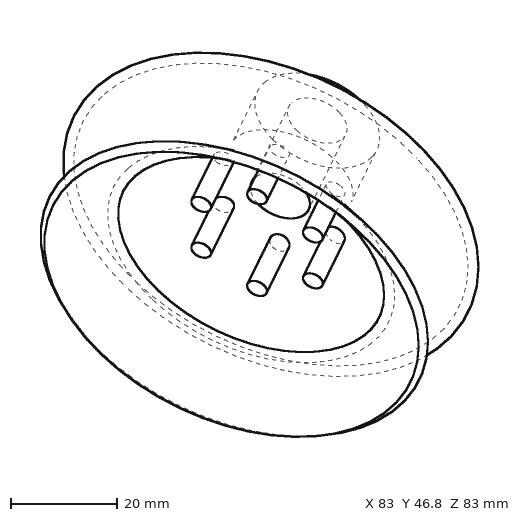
import cadquery as cq
import math


rim_radius = 41.5
overall_height = 46.8
wall = 2.0

collar_radius = 12.5
collar_fillet = 3.0
collar_fillet_height = 32.8
bore_radius = 6.0

rim_round = 3.0
rim_height = 21.5
neck_radius = 28.9
neck_round = 1.0
neck_height = 10.7
lip_angle = math.radians(41.2)

seat_radius = 10.95
seat_height = 26.6

pin_count = 6
pin_radius = 2.0
pin_circle_radius = 12.95
pin_tip_height = 13.95
pin_embed = 0.8
pin_length = seat_height + pin_embed - pin_tip_height

rim_centre = (rim_radius - rim_round, rim_height)
neck_centre = (neck_radius + neck_round, neck_height)
collar_centre = (collar_radius + collar_fillet, collar_fillet_height)

cavity_neck_round = neck_round + wall
cavity_rim_round = rim_round - wall


def on_arc(centre, radius, angle):
    """Point on a circle at an angle measured from the outward radial direction."""
    return (centre[0] + radius * math.cos(angle), centre[1] + radius * math.sin(angle))


def crossing_tangent(inner, inner_round, outer, outer_round):
    """Steepness of the wall that passes between two arcs, touching them on opposite sides."""
    run = outer[0] - inner[0]
    rise = abs(outer[1] - inner[1])
    spread = math.asin((inner_round + outer_round) / math.hypot(run, rise))
    return math.atan2(rise, run) - spread


def add_arc(profile, centre, radius, start, end):
    """Continue the profile to the start of an arc, then along it to its end."""
    return profile.lineTo(*on_arc(centre, radius, start)).threePointArc(
        on_arc(centre, radius, (start + end) / 2), on_arc(centre, radius, end)
    )


def make_cup():
    quarter = math.pi / 2
    roof_angle = crossing_tangent(collar_centre, collar_fillet, rim_centre, rim_round)
    bellows_angle = crossing_tangent(neck_centre, neck_round, rim_centre, rim_round)
    seat_edge = (seat_radius, seat_height)
    cavity_roof_angle = crossing_tangent(seat_edge, 0, rim_centre, cavity_rim_round)

    neck_to_lip = math.pi + quarter - lip_angle
    cavity_lip_start = on_arc(neck_centre, cavity_neck_round, neck_to_lip)
    lip_inner = (cavity_lip_start[0] + cavity_lip_start[1] / math.tan(lip_angle), 0)
    lip_outer = on_arc(lip_inner, wall, quarter - lip_angle)

    profile = cq.Workplane("XY").moveTo(bore_radius, overall_height)
    profile = profile.lineTo(collar_radius, overall_height)

    profile = add_arc(profile, collar_centre, collar_fillet, math.pi, math.pi + quarter - roof_angle)
    profile = add_arc(profile, rim_centre, rim_round, quarter - roof_angle, bellows_angle - quarter)
    profile = add_arc(profile, neck_centre, neck_round, quarter + bellows_angle, neck_to_lip)
    profile = profile.lineTo(*lip_outer).lineTo(*lip_inner)

    profile = add_arc(profile, neck_centre, cavity_neck_round, neck_to_lip, quarter + bellows_angle)
    profile = add_arc(
        profile, rim_centre, cavity_rim_round, bellows_angle - quarter, quarter - cavity_roof_angle
    )
    profile = profile.lineTo(*seat_edge).lineTo(bore_radius, seat_height).close()
    return profile.revolve(360, (0, 0, 0), (0, 1, 0))


def make_pins():
    return (
        cq.Workplane("XZ", origin=(0, pin_tip_height, 0))
        .polarArray(pin_circle_radius, 90, 360, pin_count)
        .circle(pin_radius)
        .extrude(-pin_length)
    )


result = make_cup().union(make_pins())